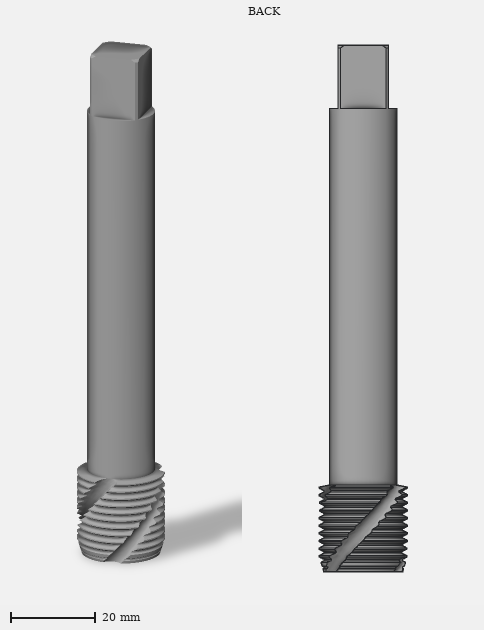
import cadquery as cq
import math

total_length = 125.0

shank_diameter = 16.1
shank_radius = shank_diameter / 2
square_side = 12.0
square_length = 15.0
end_chamfer = 0.6

head_height = 20.6
crest_radius = 10.5
shoulder_drop = 0.5
lead_in_radius = 9.4

groove_count = 11
first_root_height = 0.98
root_span = 18.1
thread_pitch = root_span / (groove_count - 1)
thread_angle = 55.0
thread_depth = 1.1
lead_in_length = 2 * thread_pitch

flute_count = 3
flute_lead = 63.8
flute_radius = 2.6
flute_centre_radius = 10.6
flute_top_angle = 270.0
flute_overrun = 1.2


def make_shank():
    """Round bar standing on the head, with its top end milled to a square."""
    bar = (
        cq.Workplane("XY")
        .workplane(offset=head_height)
        .circle(shank_radius)
        .extrude(total_length - head_height)
        .faces(">Z")
        .chamfer(end_chamfer)
    )
    milled_ring = (
        cq.Workplane("XY")
        .workplane(offset=total_length - square_length)
        .circle(shank_diameter)
        .rect(square_side, square_side)
        .extrude(square_length)
    )
    return bar.cut(milled_ring)


def make_head_blank():
    """Turned blank with a tapered lead-in below and a sloping shoulder above."""
    return (
        cq.Workplane("XZ")
        .lineTo(lead_in_radius, 0)
        .lineTo(crest_radius, lead_in_length)
        .lineTo(crest_radius, head_height - shoulder_drop)
        .lineTo(shank_radius, head_height)
        .lineTo(0, head_height)
        .close()
        .revolve(360, (0, 0), (0, 1))
    )


def make_thread_groove(root_height):
    """Ring with the thread's V section, truncated at the root and run out past the crest."""
    flank_slope = math.tan(math.radians(thread_angle / 2))
    flank_width = thread_depth * flank_slope
    root_half_width = (thread_pitch / 2 - flank_width) / 2
    mouth_half_width = thread_pitch / 2 - root_half_width
    root_radius = crest_radius - thread_depth
    outer_radius = crest_radius + thread_depth
    return (
        cq.Workplane("XZ")
        .moveTo(root_radius, root_height - root_half_width)
        .lineTo(crest_radius, root_height - mouth_half_width)
        .lineTo(outer_radius, root_height - mouth_half_width)
        .lineTo(outer_radius, root_height + mouth_half_width)
        .lineTo(crest_radius, root_height + mouth_half_width)
        .lineTo(root_radius, root_height + root_half_width)
        .close()
        .revolve(360, (0, 0), (0, 1))
    )


def make_flute(top_angle):
    """Round-bottomed helical cutter, turning counterclockwise as it rises."""
    length = head_height + 2 * flute_overrun
    degrees_per_height = 360 / flute_lead
    start_angle = top_angle - (head_height + flute_overrun) * degrees_per_height
    return (
        cq.Workplane("XY")
        .workplane(offset=-flute_overrun)
        .center(flute_centre_radius, 0)
        .circle(flute_radius)
        .center(-flute_centre_radius, 0)
        .twistExtrude(length, length * degrees_per_height)
        .rotate((0, 0, 0), (0, 0, 1), start_angle)
    )


def make_head():
    """Threaded head: turned blank, ring grooves, then the flutes."""
    head = make_head_blank()
    for index in range(groove_count):
        head = head.cut(make_thread_groove(first_root_height + index * thread_pitch))
    for index in range(flute_count):
        head = head.cut(make_flute(flute_top_angle + index * 360 / flute_count))
    return head


shank = make_shank()
head = make_head()

result = cq.Compound.makeCompound([shank.val(), head.val()])